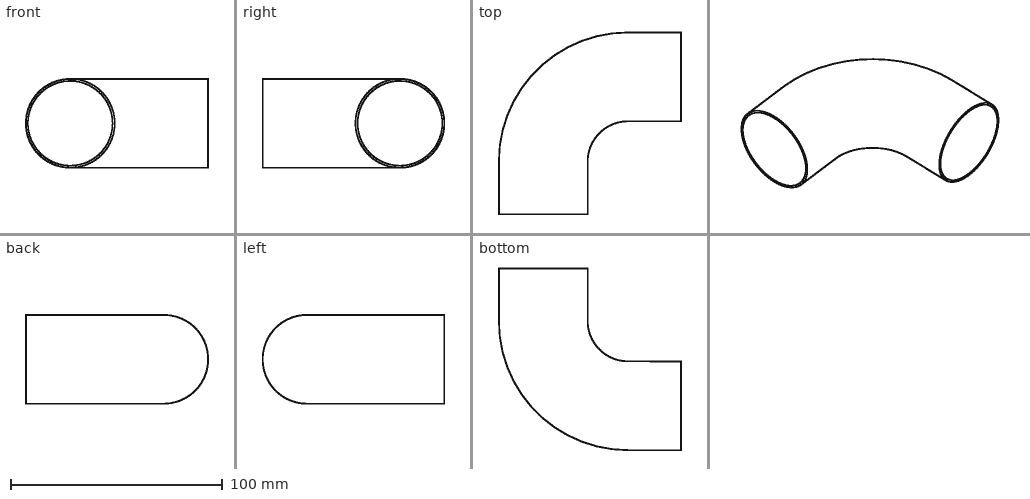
import cadquery as cq

outer_diameter = 42.0
bore_diameter = 40.0
bend_radius = 40.0
bend_angle = 90
x_leg_length = 25.15
y_leg_length = 24.9

bend_end = (bend_radius, bend_radius, 0)


def elbow(diameter):
    """Solid round elbow: a straight leg, a quarter bend and a second straight leg."""
    radius = diameter / 2
    y_leg = cq.Workplane("XZ").circle(radius).extrude(y_leg_length)
    bend = (
        cq.Workplane("XZ")
        .circle(radius)
        .revolve(bend_angle, (bend_radius, 0), (bend_radius, -1))
    )
    x_leg = cq.Workplane("YZ", origin=bend_end).circle(radius).extrude(x_leg_length)
    return y_leg.union(bend).union(x_leg)


result = elbow(outer_diameter).cut(elbow(bore_diameter))